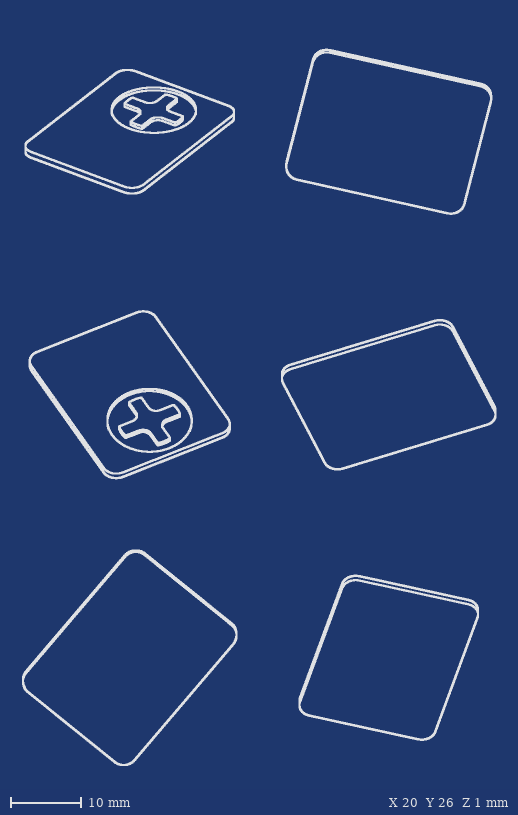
import cadquery as cq

plate_length = 26.0
plate_width = 20.0
plate_thickness = 1.0
corner_radius = 2.0

recess_diameter = 12.0
recess_margin = 1.0
recess_depth = 0.5
recess_center_y = plate_length / 2 - recess_margin - recess_diameter / 2
recess_floor_z = plate_thickness - recess_depth

cross_diameter = 9.0
arm_width = 2.0
inner_corner_radius = 1.25


def make_plate():
    """Flat rectangular plate with rounded vertical corners, resting on Z = 0."""
    plate = cq.Workplane("XY").box(plate_width, plate_length, plate_thickness, centered=(True, True, False))
    return plate.edges("|Z").fillet(corner_radius)


def make_disc(diameter):
    """Disc centred on the recess, from its floor up to the plate top."""
    floor = cq.Workplane("XY", origin=(0, recess_center_y, recess_floor_z))
    return floor.circle(diameter / 2).extrude(recess_depth)


def make_cross():
    """Four-armed cross with filleted inner corners and rounded arm ends."""
    floor = cq.Workplane("XY", origin=(0, recess_center_y, recess_floor_z))
    arm_x = floor.rect(cross_diameter, arm_width).extrude(recess_depth)
    arm_y = floor.rect(arm_width, cross_diameter).extrude(recess_depth)
    cross = arm_x.union(arm_y)

    inner_zone = cq.selectors.BoxSelector(
        (-arm_width, recess_center_y - arm_width, 0),
        (arm_width, recess_center_y + arm_width, plate_thickness),
    )
    cross = cross.edges("|Z").edges(inner_zone).fillet(inner_corner_radius)
    return cross.intersect(make_disc(cross_diameter))


result = make_plate().cut(make_disc(recess_diameter)).union(make_cross())